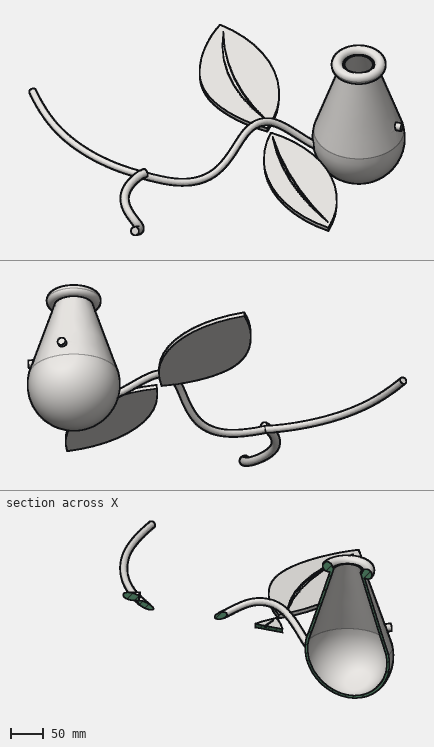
import cadquery as cq
import math

BALL_RADIUS = 71.0
WALL = 5.0
SEAM_Z = 16.0
LIP_TOP_Z = 155.0
LIP_TUBE_RADIUS = 9.0
LIP_OUTER_RADIUS = 42.0
LIP_RING_RADIUS = LIP_OUTER_RADIUS - LIP_TUBE_RADIUS
LIP_Z = LIP_TOP_Z - LIP_TUBE_RADIUS
NECK_RADIUS = 27.0

PEG_RADIUS = 6.0
PEG_Z = 39.0
PEG_REACH = 69.5
PEG_START = 51.5
PEG_ANGLES = (50, 130)

STEM_RADIUS = 5.5
LEFT_ROOT_RADIUS = 5.5
RIGHT_ROOT_RADIUS = 6.5
FORK_Z = 25.5
FORK = (-6.0, -351.0, FORK_Z)

STEM_PATH = [
    (-11.0, -67.0, -3.5),
    (-32.5, -105.0, 24.0),
    (-39.0, -132.5, 41.5),
    (-31.0, -162.5, 47.5),
    (-3.5, -205.5, 31.0),
    (17.0, -253.0, 12.5),
    (17.0, -287.0, 11.0),
    (7.0, -321.0, 16.5),
    FORK,
]
LEFT_ROOT_PATH = [
    FORK,
    (-78.5, -407.0, FORK_Z),
    (-157.5, -434.5, FORK_Z),
    (-209.0, -439.0, FORK_Z),
    (-256.0, -437.5, FORK_Z),
]
RIGHT_ROOT_Z = 31.5
RIGHT_ROOT_PATH = [
    (-4.5, -349.5, RIGHT_ROOT_Z),
    (9.5, -376.5, RIGHT_ROOT_Z),
    (35.0, -398.5, RIGHT_ROOT_Z),
    (74.0, -408.0, 34.5),
    (125.0, -411.5, 46.5),
    (150.5, -419.0, 60.5),
    (171.5, -434.5, 77.5),
]

LEAF_BOTTOM_Z = 18.5
LEAF_THICKNESS = 6.5
LEAF_TOP_Z = LEAF_BOTTOM_Z + LEAF_THICKNESS
VEIN_DEPTH = 2.5


def revolve_about_z(profile):
    """Turn a closed profile drawn in the XZ plane a full turn about the Z axis."""
    return profile.close().revolve(360, (0, 0, 0), (0, 1, 0))


def bulb(ball_radius, neck_radius, top_z):
    """Ball below the seam and a cone above it, as a solid of revolution."""
    seam_radius = math.sqrt(ball_radius**2 - SEAM_Z**2)
    side = ball_radius * math.sqrt(0.5)
    return revolve_about_z(
        cq.Workplane("XZ")
        .moveTo(0, -ball_radius)
        .threePointArc((side, -side), (seam_radius, SEAM_Z))
        .lineTo(neck_radius, top_z)
        .lineTo(0, top_z)
    )


def lip():
    """Rolled ring around the mouth."""
    return cq.Workplane("XZ").center(LIP_RING_RADIUS, LIP_Z).circle(LIP_TUBE_RADIUS).revolve(
        360, (-LIP_RING_RADIUS, 0, 0), (-LIP_RING_RADIUS, 1, 0)
    )


def peg(angle):
    """Short round peg pointing straight out from the vase axis."""
    return (
        cq.Workplane("YZ", origin=(PEG_START, 0, PEG_Z))
        .circle(PEG_RADIUS)
        .extrude(PEG_REACH - PEG_START)
        .rotate((0, 0, 0), (0, 0, 1), angle)
    )


def rod(points, radius):
    """Round rod swept along a smooth curve through the points."""
    curve = cq.Edge.makeSpline([cq.Vector(*point) for point in points])
    start = cq.Plane(origin=curve.startPoint(), normal=curve.tangentAt(0))
    return cq.Workplane(start).circle(radius).sweep(cq.Workplane(curve))


def make_flower():
    """Hollow vase with its lip, pegs, stem and the two roots, in one piece."""
    flower = bulb(BALL_RADIUS, NECK_RADIUS, LIP_Z).union(lip())
    for angle in PEG_ANGLES:
        flower = flower.union(peg(angle))
    flower = flower.union(rod(STEM_PATH, STEM_RADIUS))
    flower = flower.union(rod(LEFT_ROOT_PATH, LEFT_ROOT_RADIUS))
    flower = flower.union(rod(RIGHT_ROOT_PATH, RIGHT_ROOT_RADIUS))
    return flower.cut(bulb(BALL_RADIUS - WALL, NECK_RADIUS - WALL, LIP_Z))


def add_edge(sketch, middle_points, end):
    """Continue the outline to its end: an arc through one middle point, a curve through more."""
    if len(middle_points) == 1:
        return sketch.threePointArc(middle_points[0], end)
    return sketch.spline([*middle_points, end], includeCurrent=True)


def pointed_plate(tips, back_points, front_points, bottom_z, height):
    """Plate between a back edge and a front edge that meet in two pointed tips."""
    left_tip, right_tip = tips
    sketch = cq.Workplane("XY", origin=(0, 0, bottom_z)).moveTo(*left_tip)
    sketch = add_edge(sketch, back_points, right_tip)
    sketch = add_edge(sketch, front_points, left_tip)
    return sketch.close().extrude(height)


def make_leaf(leaf_outline, vein_outline):
    """Leaf plate with its vein groove; each outline is (tips, back points, front points)."""
    leaf = pointed_plate(*leaf_outline, LEAF_BOTTOM_Z, LEAF_THICKNESS)
    vein = pointed_plate(*vein_outline, LEAF_TOP_Z - VEIN_DEPTH, VEIN_DEPTH)
    return leaf.cut(vein)


LEFT_LEAF_TIPS = ((-301.5, -111.5), (-43.5, -133.5))
LEFT_LEAF = (LEFT_LEAF_TIPS, [(-179.0, -73.5)], [(-78.5, -162.5), (-162.0, -190.5), (-258.0, -153.5)])
LEFT_VEIN = (((-283.5, -113.0), (-63.5, -128.0)), [(-153.5, -138.0)], [(-155.5, -144.0)])

RIGHT_LEAF_TIPS = ((-32.0, -132.0), (212.5, -132.0))
RIGHT_LEAF = (RIGHT_LEAF_TIPS, [(91.0, -83.5)], [(91.0, -177.5)])
RIGHT_VEIN = (((-21.5, -133.0), (198.5, -128.0)), [(93.0, -141.0)], [(89.0, -145.5)])

flower = make_flower()
leaves = [make_leaf(*outlines) for outlines in ((LEFT_LEAF, LEFT_VEIN), (RIGHT_LEAF, RIGHT_VEIN))]

result = cq.Compound.makeCompound([*flower.solids().vals(), *[leaf.solids().val() for leaf in leaves]])